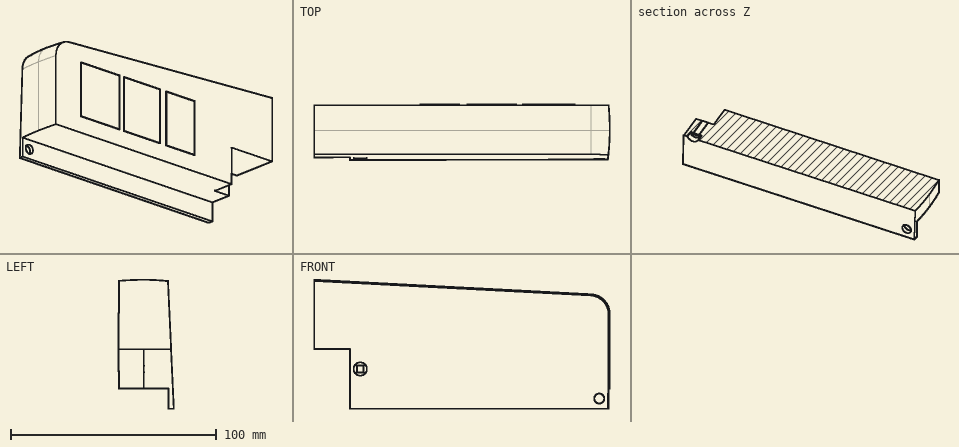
import cadquery as cq
import math

length = 143.8
height = 62.9
rear_y = 12.1
front_top_y = -11.8
front_foot_y = -14.7
top_slope = 3.0
corner_radius = 9.8
front_crown_radius = 107.9
rear_crown_radius = 136.6

notch_length = 17.4
notch_height = 29.0
body_bottom = 9.9
flange_inner_y = -12.0
rear_recess_length = 9.5

screw_x = 22.5
screw_z = 19.4
counterbore_diameter = 6.5
counterbore_depth = 3.0
step_height = 3.6
step_depth = 0.7
square_side = 3.0
flange_hole_diameter = 4.7
flange_hole_x = 138.7
flange_hole_z = 5.0

pad_spans = [(51.6, 70.5), (74.5, 98.4), (101.4, 126.9)]
pad_bottom = 18.4
pad_top = 46.6
pad_rise = 0.5

slope_angle = math.radians(top_slope)
fall = math.tan(slope_angle)
band_depth = 4.3
clearance = 1.5
band_reach = 17.3


def distance_below_top(x, z):
    return (height - fall * x - z) * math.cos(slope_angle)


lean = (front_top_y - front_foot_y) / distance_below_top(notch_length, 0)


def side_outline(inset):
    """Closed XZ side outline, with the top and the right end moved inward by inset."""
    radius = corner_radius - inset
    right = length - inset
    top_left = height - inset / math.cos(slope_angle)
    tangent = radius * math.tan((math.pi / 2 - slope_angle) / 2)
    top_right = top_left - fall * right
    arc_start = (right - tangent * math.cos(slope_angle), top_right + tangent * math.sin(slope_angle))
    arc_end = (right, top_right - tangent)
    centre = (right - radius, top_right - tangent)
    mid_angle = (math.pi / 2 - slope_angle) / 2
    arc_middle = (centre[0] + radius * math.cos(mid_angle), centre[1] + radius * math.sin(mid_angle))
    return (0, top_left), arc_start, arc_middle, arc_end, (right, 0)


def make_core():
    """Flat-sided block inside the crowned band."""
    top_left, arc_start, arc_middle, arc_end, foot = side_outline(band_depth / 2)
    outline = cq.Workplane("XZ", origin=(0, band_reach, 0)).moveTo(0, 0).lineTo(*top_left)
    outline = outline.lineTo(*arc_start).threePointArc(arc_middle, arc_end).lineTo(*foot).close()
    return outline.extrude(2 * band_reach)


def make_crowned_band():
    """Arched section swept along the top, around the corner and down the right end."""
    top_left, arc_start, arc_middle, arc_end, foot = side_outline(0)
    start = (-clearance, top_left[1] + fall * clearance)
    path = cq.Workplane("XZ").moveTo(*start).lineTo(*arc_start)
    path = path.threePointArc(arc_middle, arc_end).lineTo(*foot)
    plane = cq.Plane(
        origin=(start[0], 0, start[1]),
        xDir=(0, 1, 0),
        normal=(math.cos(slope_angle), 0, -math.sin(slope_angle)),
    )
    away = plane.yDir.z / abs(plane.yDir.z)
    def crown_point(y, radius):
        return y, away * (math.sqrt(radius ** 2 - y ** 2) - radius)

    section = cq.Workplane(plane).moveTo(-band_reach, -away * band_depth)
    section = section.lineTo(*crown_point(-band_reach, front_crown_radius))
    section = section.threePointArc(crown_point(-band_reach / 2, front_crown_radius), (0, 0))
    section = section.threePointArc(
        crown_point(band_reach / 2, rear_crown_radius), crown_point(band_reach, rear_crown_radius)
    )
    section = section.lineTo(band_reach, -away * band_depth).close()
    band = section.sweep(path)
    return band.intersect(block((0, length), (-band_reach, band_reach), (0, height)))


def wall_limits():
    """Block between the flat rear wall and the front wall, which leans out from the top edge."""
    reach = 2 * length
    plane = cq.Plane(
        origin=(0, 0, height),
        xDir=(0, 1, 0),
        normal=(math.cos(slope_angle), 0, -math.sin(slope_angle)),
    )
    down = -plane.yDir.z / abs(plane.yDir.z)
    corners = [
        (rear_y, -down * height),
        (rear_y, down * reach),
        (front_top_y - lean * reach, down * reach),
        (front_top_y + lean * height, -down * height),
    ]
    return cq.Workplane(plane).polyline(corners).close().extrude(reach, both=True)


def block(x_range, y_range, z_range):
    """Box given by its low and high limits along each axis."""
    size = [high - low for low, high in (x_range, y_range, z_range)]
    corner = (x_range[0], y_range[0], z_range[0])
    return cq.Workplane().box(*size, centered=False).translate(corner)


def cut_underside(body):
    wide = 2 * band_reach
    notch = block((-clearance, notch_length), (-wide, wide), (-clearance, notch_height))
    rear_recess = block((-clearance, notch_length + rear_recess_length), (0, wide), (-clearance, notch_height))
    below_body = block((-clearance, length + clearance), (flange_inner_y, wide), (-clearance, body_bottom))
    return body.cut(notch).cut(rear_recess).cut(below_body)


def cut_front_holes(body):
    """Stepped screw hole (round, slot, square) and the plain hole in the flange."""
    front = cq.Workplane("XZ", origin=(screw_x, -band_reach, screw_z))
    front_wall_y = front_top_y - lean * distance_below_top(screw_x, screw_z)
    round_end = front_wall_y + counterbore_depth
    slot_end = round_end + step_depth
    round_part = front.circle(counterbore_diameter / 2).extrude(-(round_end + band_reach))
    slot = front.circle(counterbore_diameter / 2).extrude(-(slot_end + band_reach))
    slot = slot.intersect(front.rect(length, step_height).extrude(-(slot_end + band_reach)))
    square = front.rect(square_side, square_side).extrude(-2 * band_reach)
    flange_hole = cq.Workplane("XZ", origin=(flange_hole_x, -band_reach, flange_hole_z))
    flange_hole = flange_hole.circle(flange_hole_diameter / 2).extrude(-2 * band_reach)
    return body.cut(round_part).cut(slot).cut(square).cut(flange_hole)


def add_rear_pads(body):
    for start, end in pad_spans:
        pad = block((start, end), (rear_y - pad_rise, rear_y + pad_rise), (pad_bottom, pad_top))
        body = body.union(pad)
    return body


body = make_core().union(make_crowned_band()).intersect(wall_limits())
body = cut_underside(body)
body = cut_front_holes(body)
result = add_rear_pads(body)